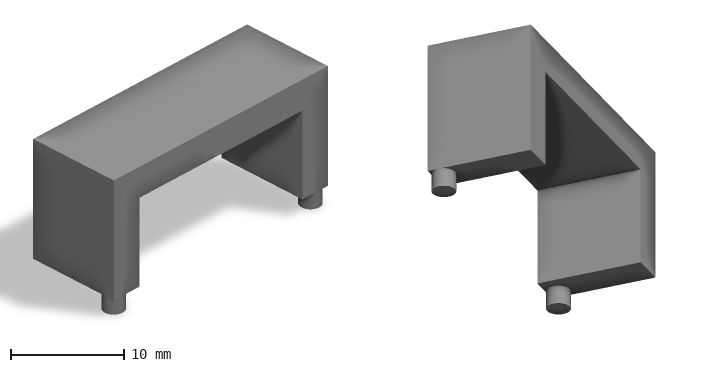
import cadquery as cq

width = 10.0
length = 27.0
total_height = 14.2
wall = 3.2

pin_diameter = 2.2
pin_length = 1.75

body_height = total_height - pin_length
pin_radius = pin_diameter / 2
pin_x = width / 2 - pin_radius
pin_y = length / 2 - pin_radius


def make_bridge():
    """Block standing on Z = 0 with a channel through it along X."""
    block = cq.Workplane("XY").box(width, length, body_height, centered=(True, True, False))
    channel = cq.Workplane("XY").box(
        width, length - 2 * wall, body_height - wall, centered=(True, True, False)
    )
    return block.cut(channel)


def make_pin(y):
    """Pin hanging from the leg bottom at Z = 0."""
    return cq.Workplane("XY").center(pin_x, y).circle(pin_radius).extrude(-pin_length)


result = make_bridge()
for side in (-1, 1):
    result = result.union(make_pin(side * pin_y))